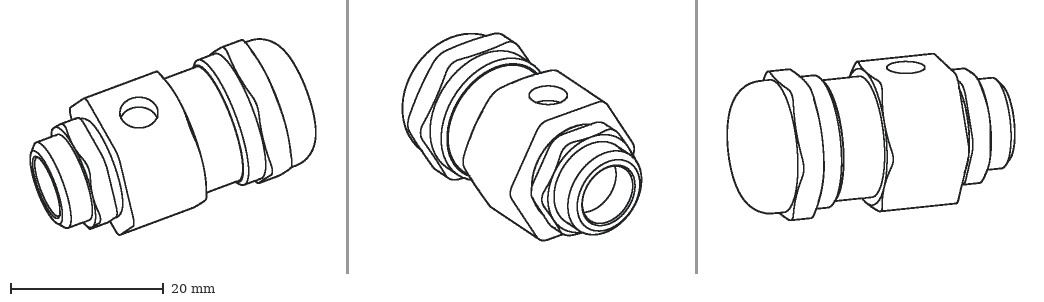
import cadquery as cq
import math

length = 36.15

thread_diameter = 12.0
thread_tip_diameter = 10.2
thread_tip_length = 0.83
bore_diameter = 8.2
bore_mouth_diameter = 8.65
bore_mouth_depth = 0.2

small_hex_start = 3.9
bore_depth = small_hex_start
small_hex_end = 6.7
small_hex_flats = 14.0
small_hex_corner_radius = 2.53
small_hex_chamfer_angle = 30.0
ring_diameter = 13.8
ring_rim_radius = 0.72

body_start = 8.03
body_end = 19.0
body_flats = 18.0
body_corner_radius = 2.0
body_chamfer_angle = 24.0
side_hole_diameter = 5.0
side_hole_y = 13.38
side_hole_depth = 2.2

neck_diameter = 16.0
cap_start = 24.7
cap_diameter = 17.5
cap_chamfer = 0.5
cap_chamfer_inset = 0.58
dome_radius = 3.47
nut_start = 27.65
nut_end = 31.25
nut_corner_radius = 2.45
nut_chamfer_angle = 17.0


def cylinder(diameter, start, end):
    """Solid cylinder along Y between two stations."""
    return cq.Workplane("XZ", origin=(0, start, 0)).circle(diameter / 2).extrude(start - end)


def revolve_about_y(profile):
    """Turn a closed (radius, Y) profile about the Y axis."""
    return profile.close().revolve(360, (0, 0, 0), (0, 1, 0))


def hexagon(flats, corner_radius, start, end):
    """Hexagonal prism along Y, flats facing +Z and -Z, with rounded corners."""
    return (
        cq.Workplane("XZ", origin=(0, start, 0))
        .polygon(6, flats / math.cos(math.radians(30)))
        .extrude(start - end)
        .edges("|Y")
        .fillet(corner_radius)
    )


def chamfer_cone(diameter, angle, end, far_end):
    """Cone opening from the given diameter at one end face, to bevel a hexagon's corners."""
    radius = diameter / 2
    far_radius = radius + abs(far_end - end) / math.tan(math.radians(angle))
    return revolve_about_y(
        cq.Workplane("XY")
        .moveTo(0, end)
        .lineTo(radius, end)
        .lineTo(far_radius, far_end)
        .lineTo(0, far_end)
    )


def threaded_end():
    """Plain thread cylinder with a tapered tip."""
    radius = thread_diameter / 2
    return revolve_about_y(
        cq.Workplane("XY")
        .lineTo(thread_tip_diameter / 2, 0)
        .lineTo(radius, thread_tip_length)
        .lineTo(radius, small_hex_start)
        .lineTo(0, small_hex_start)
    )


def sealing_ring():
    """Disc with a fully rounded rim, resting on the small hexagon and sunk slightly into the body."""
    rim_centre = ring_diameter / 2 - ring_rim_radius
    rim_middle = small_hex_end + ring_rim_radius
    ring_end = rim_middle + ring_rim_radius
    return revolve_about_y(
        cq.Workplane("XY")
        .moveTo(0, small_hex_end)
        .lineTo(rim_centre, small_hex_end)
        .threePointArc((ring_diameter / 2, rim_middle), (rim_centre, ring_end))
        .lineTo(0, ring_end)
    )


def cap():
    """Round cap with a bevelled lower edge and a domed end."""
    radius = cap_diameter / 2
    dome_start = length - dome_radius
    return revolve_about_y(
        cq.Workplane("XY")
        .moveTo(0, cap_start)
        .lineTo(radius - cap_chamfer_inset, cap_start)
        .lineTo(radius, cap_start + cap_chamfer)
        .lineTo(radius, dome_start)
        .tangentArcPoint((radius - dome_radius, length), relative=False)
        .lineTo(0, length)
    )


def bore():
    """Blind bore in the threaded end, with a small bevel at its mouth."""
    radius = bore_diameter / 2
    return revolve_about_y(
        cq.Workplane("XY")
        .lineTo(bore_mouth_diameter / 2, 0)
        .lineTo(radius, bore_mouth_depth)
        .lineTo(radius, bore_depth)
        .lineTo(0, bore_depth)
    )


def side_hole():
    """Blind hole in the upper flat of the main body."""
    return (
        cq.Workplane("XY", origin=(0, side_hole_y, body_flats / 2))
        .circle(side_hole_diameter / 2)
        .extrude(-side_hole_depth)
    )


small_hex = hexagon(
    small_hex_flats, small_hex_corner_radius, small_hex_start, small_hex_end
).intersect(chamfer_cone(small_hex_flats, small_hex_chamfer_angle, small_hex_start, small_hex_end))

body = hexagon(body_flats, body_corner_radius, body_start, body_end).intersect(
    chamfer_cone(body_flats, body_chamfer_angle, body_end, body_start)
)

nut = (
    hexagon(body_flats, nut_corner_radius, nut_start, nut_end)
    .intersect(chamfer_cone(cap_diameter, nut_chamfer_angle, nut_start, nut_end))
    .intersect(chamfer_cone(cap_diameter, nut_chamfer_angle, nut_end, nut_start))
)

result = (
    threaded_end()
    .union(small_hex)
    .union(sealing_ring())
    .union(body)
    .union(cylinder(neck_diameter, body_end, cap_start))
    .union(cap())
    .union(nut)
    .cut(bore())
    .cut(side_hole())
)